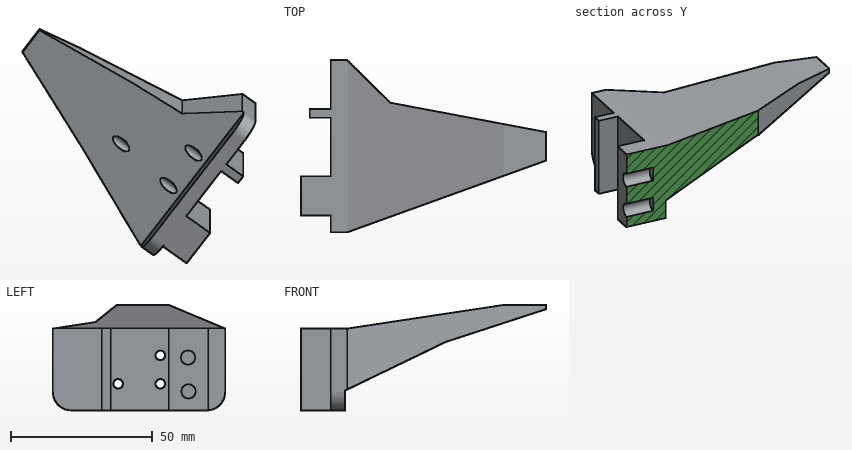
import cadquery as cq

length = 86.6
width = 61.0
height = 37.3

plate_back = 10.5
plate_front = 15.6
plate_height = 29.0
corner_radius = 6.6

slope_start = 16.5
tip_flat_start = 71.5
tip_thickness = 1.6
root_underside = 7.0
underside_bend_x = 51.1
underside_bend_z = 24.2
shoulder_x = 31.5
shoulder_y = 45.9
taper_start = 16.3
tip_y_min = 25.4
tip_y_max = 35.5

rib_back = 3.0
rib_y_min = 40.5
rib_thickness = 3.1
block_y_min = 6.0
block_width = 13.9

plate_hole_diameter = 3.3
hole_row_low = 9.4
hole_row_high = 19.5
hole_column_inner = 22.95
hole_column_outer = 37.85
plate_holes = [
    (hole_column_inner, hole_row_low),
    (hole_column_inner, hole_row_high),
    (hole_column_outer, hole_row_low),
]
block_hole_diameter = 5.0
block_hole_depth = plate_back
block_holes = [(13.0, 6.75), (13.2, 18.7)]


def box_between(x_min, x_max, y_min, y_size, z_size):
    """Box standing on Z = 0."""
    return cq.Workplane("XY").box(x_max - x_min, y_size, z_size, centered=False).translate((x_min, y_min, 0))


def make_plate():
    """Upright plate with its two lower corners rounded."""
    plate = box_between(plate_back, plate_front, 0, width, plate_height)
    return plate.faces("<Z").edges("|X").fillet(corner_radius)


def make_blade():
    """Side profile of the blade, trimmed to its tapered plan outline."""
    profile = (
        cq.Workplane("XZ")
        .polyline([
            (plate_back, root_underside),
            (plate_front, root_underside),
            (underside_bend_x, underside_bend_z),
            (length, height - tip_thickness),
            (length, height),
            (tip_flat_start, height),
            (slope_start, plate_height),
            (plate_back, plate_height),
        ])
        .close()
        .extrude(-width)
    )
    plan = (
        cq.Workplane("XY")
        .polyline([
            (plate_back, 0),
            (taper_start, 0),
            (length, tip_y_min),
            (length, tip_y_max),
            (shoulder_x, shoulder_y),
            (taper_start, width),
            (plate_back, width),
        ])
        .close()
        .extrude(height)
    )
    return profile.intersect(plan)


def drill(body, centers, diameter, depth):
    """Drill holes along +X from the back of the part."""
    drills = cq.Workplane("YZ").pushPoints(centers).circle(diameter / 2).extrude(depth)
    return body.cut(drills)


rib = box_between(rib_back, plate_back, rib_y_min, rib_thickness, plate_height)
block = box_between(0, plate_back, block_y_min, block_width, plate_height)

result = make_plate().union(make_blade()).union(rib).union(block)
result = drill(result, plate_holes, plate_hole_diameter, length)
result = drill(result, block_holes, block_hole_diameter, block_hole_depth)